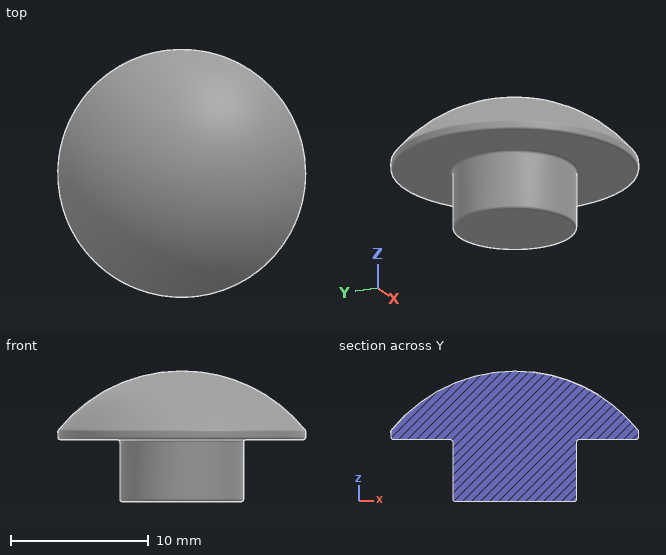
import cadquery as cq
import math

head_diameter = 18.0
head_height = 5.0
dome_radius = 11.5
stem_diameter = 9.0
stem_length = 4.5
edge_radius = 0.2

head_radius = head_diameter / 2
stem_radius = stem_diameter / 2

dome_center_z = head_height - dome_radius
rim_height = dome_center_z + math.sqrt(dome_radius**2 - head_radius**2)

dome_half_angle = math.asin(head_radius / dome_radius) / 2
dome_mid_point = (
    dome_radius * math.sin(dome_half_angle),
    dome_center_z + dome_radius * math.cos(dome_half_angle),
)


def revolved_blank():
    """Stem and domed head with sharp edges, turned about the Z axis."""
    profile = (
        cq.Workplane("XZ")
        .moveTo(0, -stem_length)
        .lineTo(stem_radius, -stem_length)
        .lineTo(stem_radius, 0)
        .lineTo(head_radius, 0)
        .lineTo(head_radius, rim_height)
        .threePointArc(dome_mid_point, (0, head_height))
        .close()
    )
    return profile.revolve(360, (0, 0, 0), (0, 1, 0))


def round_edges(body):
    """Round the stem end, the stem root and both edges of the rim."""
    return body.faces("%CYLINDER").edges("%CIRCLE").fillet(edge_radius)


result = round_edges(revolved_blank())